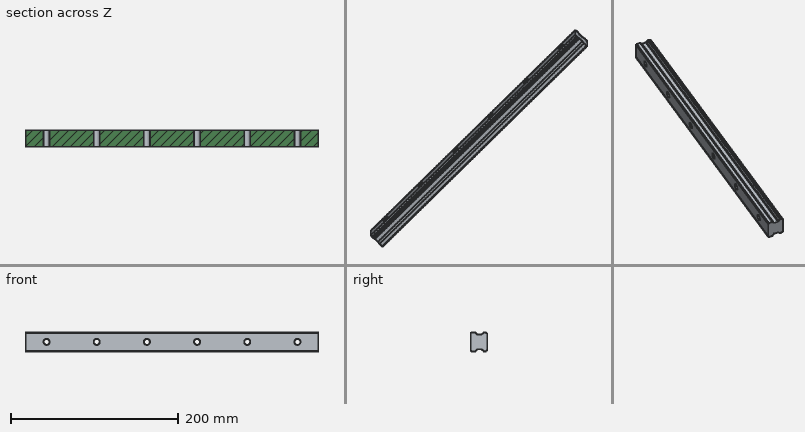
import cadquery as cq
import math

length = 350.0
height = 20.0
width = 23.0

groove_depth = 2.5
race_radius = 2.7
race_start_angle = math.radians(70)
race_end_angle = math.radians(12)
race_centre_y = 3.3
floor_base_end = -2.0
wall_angle = math.radians(45)

crown_bevel_height = 2.2
crown_bevel_depth = 1.7
base_bevel = 1.1

hole_diameter = 7.0
hole_pitch = 60.0
hole_count = 6

crown = height / 2
base = -height / 2
flank = width / 2
groove_floor = flank - groove_depth


def race_point(angle):
    """Point (Y, Z) on the ball race of the upper flank at a given surface slope."""
    race_centre_z = flank + race_radius * math.cos(race_start_angle)
    return (
        race_centre_y + race_radius * math.sin(angle),
        race_centre_z - race_radius * math.cos(angle),
    )


def half_rail():
    """Rail half above the middle of the width, with its groove and bevels."""
    race_start = race_point(race_start_angle)
    race_middle = race_point((race_start_angle + race_end_angle) / 2)
    race_end = race_point(race_end_angle)
    floor_crown_end = race_end[0] - (race_end[1] - groove_floor) / math.tan(wall_angle)
    base_land_end = floor_base_end - groove_depth / math.tan(wall_angle)
    return (
        cq.Workplane("YZ", origin=(-length / 2, 0, 0))
        .moveTo(base, 0)
        .lineTo(base, flank - base_bevel)
        .lineTo(base + base_bevel, flank)
        .lineTo(base_land_end, flank)
        .lineTo(floor_base_end, groove_floor)
        .lineTo(floor_crown_end, groove_floor)
        .lineTo(*race_end)
        .threePointArc(race_middle, race_start)
        .lineTo(crown - crown_bevel_height, flank)
        .lineTo(crown, flank - crown_bevel_depth)
        .lineTo(crown, 0)
        .close()
        .extrude(length)
    )


def mounting_holes():
    """Row of through holes centred on the length of the rail."""
    return (
        cq.Workplane("XZ", origin=(0, crown, 0))
        .rarray(hole_pitch, 1, hole_count, 1)
        .circle(hole_diameter / 2)
        .extrude(height)
    )


upper_half = half_rail()
rail = upper_half.union(upper_half.mirror("XY")).clean()
result = rail.cut(mounting_holes())